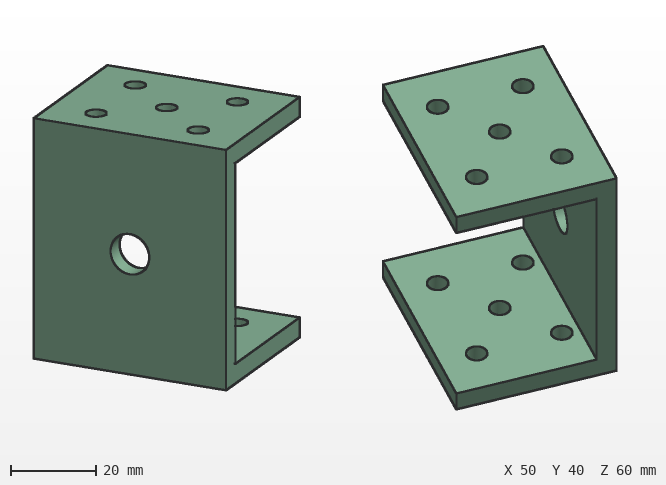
import cadquery as cq

width = 50.0
depth = 40.0
height = 60.0
wall = 5.0

flange_hole_diameter = 5.0
web_hole_diameter = 10.0
hole_spacing_x = 26.5
hole_spacing_y = 21.25


def channel():
    """U channel: web on the -Y side, two flanges reaching toward +Y."""
    block = cq.Workplane("XY").box(width, depth, height)
    opening = (
        cq.Workplane("XY")
        .box(width, depth - wall, height - 2 * wall)
        .translate((0, wall / 2, 0))
    )
    return block.cut(opening)


def flange_holes():
    """Four corner holes and a centre hole, passing through both flanges."""
    return (
        cq.Workplane("XY", origin=(0, 0, -height / 2))
        .rect(hole_spacing_x, hole_spacing_y, forConstruction=True)
        .vertices()
        .circle(flange_hole_diameter / 2)
        .extrude(height)
        .union(
            cq.Workplane("XY", origin=(0, 0, -height / 2))
            .circle(flange_hole_diameter / 2)
            .extrude(height)
        )
    )


def web_hole():
    """Single larger hole through the middle of the web."""
    return (
        cq.Workplane("XZ", origin=(0, depth / 2, 0))
        .circle(web_hole_diameter / 2)
        .extrude(depth)
    )


result = channel().cut(flange_holes()).cut(web_hole())